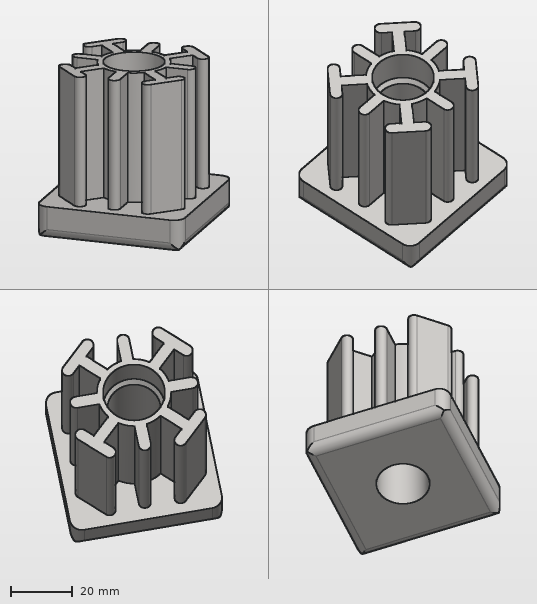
import cadquery as cq

flange_side = 50.0
flange_height = 11.0
corner_radius = 3.9
bottom_edge_radius = 3.3

total_height = 55.0
hub_diameter = 24.0
bore_diameter = 20.0
through_diameter = 17.25
cone_depth = 1.4
bore_depth = 11.0

rib_thickness = 4.0
straight_rib_reach = 21.0
bar_center_distance = 22.05
bar_length = 15.0

rib_height = total_height - flange_height
bore_floor_height = total_height - bore_depth


def make_flange():
    """Square plate with a rounded lower rim that meets at mitres, cut back by rounded corners."""
    plate = cq.Workplane("XY").rect(flange_side, flange_side).extrude(flange_height)
    mitred_plate = plate.faces("<Z").edges().fillet(bottom_edge_radius)
    rounded_prism = plate.edges("|Z").fillet(corner_radius)
    return mitred_plate.intersect(rounded_prism)


def make_straight_rib_pair(angle):
    """Pair of opposite radial ribs with round outer ends."""
    slot_length = 2 * straight_rib_reach
    ribs = cq.Workplane("XY").workplane(offset=flange_height)
    ribs = ribs.slot2D(slot_length, rib_thickness).extrude(rib_height)
    return ribs.rotate((0, 0, 0), (0, 0, 1), angle)


def make_tee_rib(angle):
    """Radial web ending in a round-ended crossbar."""
    base = cq.Workplane("XY").workplane(offset=flange_height)
    web = base.center(bar_center_distance / 2, 0).rect(bar_center_distance, rib_thickness)
    web = web.extrude(rib_height)
    bar = base.center(bar_center_distance, 0).slot2D(bar_length, rib_thickness, 90)
    bar = bar.extrude(rib_height)
    return web.union(bar).rotate((0, 0, 0), (0, 0, 1), angle)


result = make_flange()
result = result.union(cq.Workplane("XY").circle(hub_diameter / 2).extrude(total_height))
for angle in (0, 90):
    result = result.union(make_straight_rib_pair(angle))
for angle in (45, 135, 225, 315):
    result = result.union(make_tee_rib(angle))

bore = cq.Workplane("XY").workplane(offset=bore_floor_height)
result = result.cut(bore.circle(bore_diameter / 2).extrude(bore_depth))
step = cq.Workplane("XY").workplane(offset=bore_floor_height - cone_depth).circle(through_diameter / 2)
step = step.workplane(offset=cone_depth).circle(bore_diameter / 2).loft()
result = result.cut(step)
result = result.cut(cq.Workplane("XY").circle(through_diameter / 2).extrude(total_height))